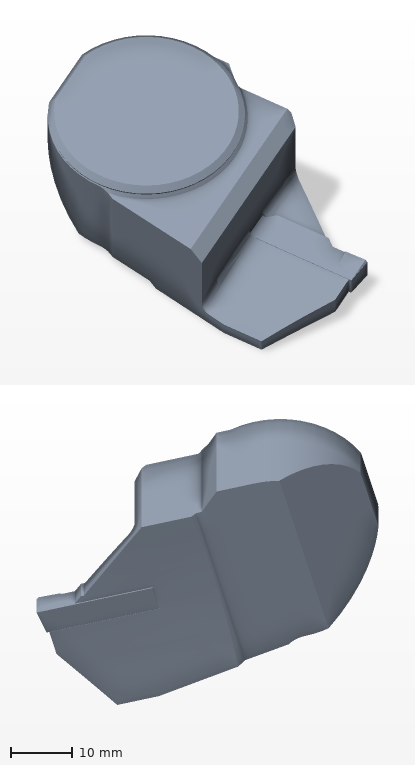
import cadquery as cq
import math


TOTAL_LENGTH = 56.1
TOTAL_WIDTH = 37.05
TOTAL_HEIGHT = 18.9

BLOCK_TOP = 17.15
BLOCK_BOTTOM = 1.23
LIP_HEIGHT = 18.0
NECK_HEIGHT = 17.65

BODY_RADIUS = 16.1
DISC_TOP_RADIUS = 15.05
LIP_RADIUS = 16.05
NECK_RADIUS = 15.95
FLARE_RADIUS = 16.5
FLAT_X = -15.07
DISC_CHAMFER = TOTAL_HEIGHT - LIP_HEIGHT

TAB_END_X = 6.45
BACK_Y = 12.7
TAB_DROP = BODY_RADIUS - BACK_Y
BACK_CORNER_X = 19.97
BACK_SLANT_END = (32.7, 1.4)
BLADE_END_X = 40.07
BLADE_CORNER_Y = -8.85
FRONT_Y = BODY_RADIUS - TOTAL_WIDTH
FRONT_EDGE_START_X = 26.0
FRONT_EDGE_END_X = 33.04
CONCAVE_END = (3.1, -17.06)

BLOCK_FACE_X = 21.5
TOP_BEVEL_LENGTH = 2.3
TOP_BEVEL_DROP = 1.85
UNDERCUT_TOP = 12.3
FOOT_START_X = 10.75
FOOT_RAMP_LENGTH = 1.5

BLADE_TOP_PEAK = 4.15
BLADE_TOP_PEAK_Y = -4.0
BLADE_TOP_RADIUS = 78.0
BLADE_UNDER_PEAK = 0.85
BLADE_UNDER_RADIUS = FRONT_Y ** 2 / (2 * BLADE_UNDER_PEAK) + BLADE_UNDER_PEAK / 2
BLADE_FILLET = 1.5

INSERT_BACK_Y = 0.2
INSERT_FRONT_Y = -4.32
INSERT_TOP = 4.23
INSERT_TIP_BOTTOM = 0.62
INSERT_END_X = FLAT_X + TOTAL_LENGTH
INSERT_FRONT_END_X = 40.54
EAR_Y = BACK_SLANT_END[1]
EAR_START_X = 22.25
EAR_FULL_START_X = 23.6
EAR_FULL_END_X = 33.2
EAR_END_X = 34.55
TIP_START_X = 36.75
TIP_CORNER = (37.05, -2.3)
TIP_FRONT_END = (40.55, -3.8)
TIP_TOP_SLOPE = 0.115
TIP_START_SLOPE = 1.0
TIP_END_SLOPE = 1.3

MARGIN = 5.0


def plan_prism(bottom, top):
    """Shared outline of disc, block and blade, as a prism."""
    flat_half = math.sqrt(BODY_RADIUS ** 2 - FLAT_X ** 2)
    left_angle = (math.pi / 2 + math.atan2(flat_half, FLAT_X)) / 2
    left_x = BODY_RADIUS * math.cos(left_angle)
    left_y = BODY_RADIUS * math.sin(left_angle)
    end_x, end_y = CONCAVE_END
    drop = -BODY_RADIUS - end_y
    concave_radius = (end_x ** 2 + drop ** 2) / (2 * drop)
    half_sweep = math.asin(end_x / concave_radius) / 2
    concave_middle = (
        concave_radius * math.sin(half_sweep),
        -BODY_RADIUS - concave_radius * (1 - math.cos(half_sweep)),
    )
    return (
        cq.Workplane("XY", origin=(0, 0, bottom))
        .moveTo(FLAT_X, -flat_half)
        .lineTo(FLAT_X, flat_half)
        .threePointArc((left_x, left_y), (0, BODY_RADIUS))
        .lineTo(TAB_END_X, BODY_RADIUS)
        .lineTo(TAB_END_X + TAB_DROP, BACK_Y)
        .lineTo(BACK_CORNER_X, BACK_Y)
        .lineTo(*BACK_SLANT_END)
        .lineTo(BLADE_END_X, INSERT_FRONT_Y)
        .lineTo(BLADE_END_X, BLADE_CORNER_Y)
        .lineTo(FRONT_EDGE_END_X, FRONT_Y)
        .lineTo(FRONT_EDGE_START_X, FRONT_Y)
        .lineTo(*CONCAVE_END)
        .threePointArc(concave_middle, (0, -BODY_RADIUS))
        .threePointArc((left_x, -left_y), (FLAT_X, -flat_half))
        .close()
        .extrude(top - bottom)
    )


def x_cylinder(radius, axis_y, axis_z):
    """Long cylinder along X that shapes a blade surface."""
    return (
        cq.Workplane("YZ", origin=(-BODY_RADIUS, axis_y, axis_z))
        .circle(radius)
        .extrude(BODY_RADIUS + BLADE_END_X + MARGIN)
    )


def make_block():
    """Block and blade slab, limited by the side profile."""
    undercut_end_x = FLAT_X + UNDERCUT_TOP - BLOCK_BOTTOM
    profile = (
        cq.Workplane("XZ", origin=(0, BODY_RADIUS + MARGIN, 0))
        .polyline([
            (FLAT_X, BLOCK_TOP),
            (BLOCK_FACE_X - TOP_BEVEL_LENGTH, BLOCK_TOP),
            (BLOCK_FACE_X, BLOCK_TOP - TOP_BEVEL_DROP),
            (BLADE_END_X, BLOCK_TOP - TOP_BEVEL_DROP),
            (BLADE_END_X, 0),
            (FOOT_START_X + FOOT_RAMP_LENGTH, 0),
            (FOOT_START_X, BLOCK_BOTTOM),
            (undercut_end_x, BLOCK_BOTTOM),
            (FLAT_X, UNDERCUT_TOP),
        ])
        .close()
        .extrude(BODY_RADIUS - FRONT_Y + 2 * MARGIN)
    )
    return plan_prism(0, BLOCK_TOP).intersect(profile)


def make_blade_clearance():
    """Open space above the blade, rounded where it meets the block face."""
    space_length = BLADE_END_X - BLOCK_FACE_X + MARGIN
    space = cq.Workplane("XY").box(
        space_length, 2 * (BODY_RADIUS - FRONT_Y), 2 * BLOCK_TOP, centered=(False, True, False)
    )
    space = space.translate((BLOCK_FACE_X, 0, 0))
    space = space.cut(x_cylinder(BLADE_TOP_RADIUS, BLADE_TOP_PEAK_Y, BLADE_TOP_PEAK - BLADE_TOP_RADIUS))
    root = cq.selectors.NearestToPointSelector((BLOCK_FACE_X, BLADE_TOP_PEAK_Y, BLADE_TOP_PEAK))
    return space.edges(root).fillet(BLADE_FILLET)


def make_underside_clearance():
    """Space below the arched underside of the blade."""
    slab = cq.Workplane("XY").box(
        BLADE_END_X - FOOT_START_X + MARGIN, 4 * BODY_RADIUS, BLOCK_BOTTOM, centered=(False, True, False)
    )
    slab = slab.translate((FOOT_START_X, 0, 0))
    return slab.intersect(
        x_cylinder(BLADE_UNDER_RADIUS, 0, BLADE_UNDER_PEAK - BLADE_UNDER_RADIUS)
    )


def make_disc():
    """Chamfered disc with a small neck, flaring out onto the block."""
    disc = (
        cq.Workplane("XZ")
        .polyline([
            (0, BLOCK_TOP),
            (FLARE_RADIUS, BLOCK_TOP),
            (NECK_RADIUS, NECK_HEIGHT),
            (LIP_RADIUS, LIP_HEIGHT),
            (DISC_TOP_RADIUS, TOTAL_HEIGHT),
            (0, TOTAL_HEIGHT),
        ])
        .close()
        .revolve(360, (0, 0), (0, 1))
    )
    disc = disc.intersect(plan_prism(BLOCK_TOP, TOTAL_HEIGHT))
    flat_chamfer = (
        cq.Workplane("XZ", origin=(0, BODY_RADIUS, 0))
        .polyline([
            (FLAT_X, LIP_HEIGHT),
            (FLAT_X + DISC_CHAMFER, TOTAL_HEIGHT),
            (FLAT_X, TOTAL_HEIGHT),
        ])
        .close()
        .extrude(2 * BODY_RADIUS)
    )
    return disc.cut(flat_chamfer)


def insert_plan(bottom, top):
    """Plan outline of the insert as a prism."""
    return (
        cq.Workplane("XY", origin=(0, 0, bottom))
        .polyline([
            (BLOCK_FACE_X, INSERT_FRONT_Y),
            (INSERT_FRONT_END_X, INSERT_FRONT_Y),
            (INSERT_END_X, INSERT_BACK_Y),
            (EAR_END_X, INSERT_BACK_Y),
            (EAR_FULL_END_X, EAR_Y),
            (EAR_FULL_START_X, EAR_Y),
            (EAR_START_X, INSERT_BACK_Y),
            (BLOCK_FACE_X, INSERT_BACK_Y),
        ])
        .close()
        .extrude(top - bottom)
    )


def ramp_from(start, end, slope):
    """Wedge on the insert top that rises to the left of the line from start to end."""
    run_x = end[0] - start[0]
    run_y = end[1] - start[1]
    ramp_plane = cq.Plane(
        origin=(*start, INSERT_TOP), xDir=(-run_y, run_x, 0), normal=(run_x, run_y, 0)
    )
    return (
        cq.Workplane(ramp_plane)
        .polyline([(0, 0), (MARGIN, 0), (MARGIN, MARGIN * slope)])
        .close()
        .extrude(2 * MARGIN, both=True)
    )


def make_insert_tip():
    """Raised tip, with a gently sloping top and steeper walls at its two ends."""
    start_back = (TIP_START_X, INSERT_BACK_Y)
    end_back = (INSERT_END_X, INSERT_BACK_Y)
    tip = (
        cq.Workplane("XY", origin=(0, 0, INSERT_TOP))
        .polyline([start_back, TIP_CORNER, TIP_FRONT_END, end_back])
        .close()
        .extrude(MARGIN)
    )
    tip = tip.intersect(ramp_from(start_back, TIP_CORNER, TIP_START_SLOPE))
    tip = tip.intersect(ramp_from(TIP_CORNER, TIP_FRONT_END, TIP_TOP_SLOPE))
    return tip.intersect(ramp_from(TIP_FRONT_END, end_back, TIP_END_SLOPE))


def make_insert():
    """Insert bar with a relieved underside and the raised cutting tip."""
    section = (
        cq.Workplane("YZ", origin=(BLOCK_FACE_X, 0, 0))
        .polyline([
            (INSERT_FRONT_Y, INSERT_TOP),
            (EAR_Y, INSERT_TOP),
            (EAR_Y, BLADE_UNDER_PEAK),
            (INSERT_BACK_Y, BLADE_UNDER_PEAK),
            (INSERT_BACK_Y, INSERT_TIP_BOTTOM),
            (INSERT_FRONT_Y, BLADE_UNDER_PEAK),
        ])
        .close()
        .extrude(INSERT_END_X - BLOCK_FACE_X)
    )
    return insert_plan(0, INSERT_TOP).intersect(section).union(make_insert_tip())


holder = (
    make_block()
    .cut(make_blade_clearance())
    .cut(make_underside_clearance())
    .union(make_disc())
    .cut(insert_plan(0, INSERT_TOP + BLADE_FILLET))
)
insert = make_insert()

result = cq.Compound.makeCompound([holder.solids().val(), insert.solids().val()])